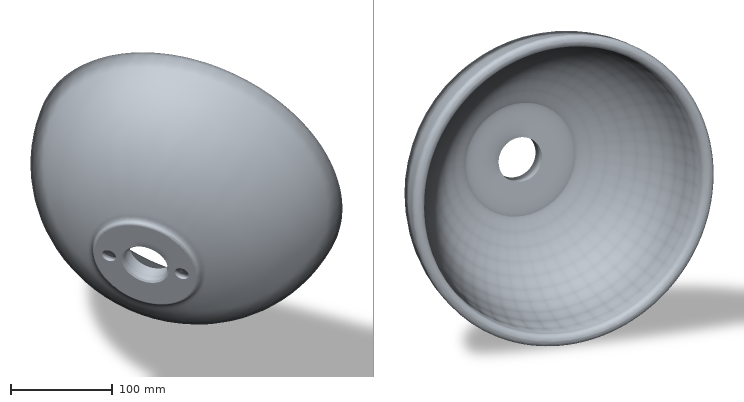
import cadquery as cq
import math

rim_radius = 160.0
bowl_height = 140.0
wall = 12.0
rim_fillet = 5.8

arc_radius = 137.0
arc_center_r = rim_radius - arc_radius
arc_center_y = 138.8
inner_arc_radius = arc_radius - wall
floor_y = 19.2

foot_radius = 55.3
foot_edge_fillet = 2.5
foot_root_fillet = 5.0

drain_radius = 23.0
drain_chamfer = 1.5
hole_radius = 7.5
hole_offset = 38.0
hole_depth = 6.5
ledge_offset = 36.0
ledge_height = 0.5


def arc_point(radius, angle):
    """Point on a profile arc; the angle is measured down from the rim direction."""
    return (
        arc_center_r + radius * math.cos(angle),
        arc_center_y - radius * math.sin(angle),
    )


def bowl_half_section():
    """Wall section from the foot face up to the rim and back down inside."""
    rim_drop = arc_center_y - bowl_height
    outer_rim = math.asin(rim_drop / arc_radius)
    outer_foot = math.acos((foot_radius - arc_center_r) / arc_radius)
    inner_rim = math.asin(rim_drop / inner_arc_radius)
    inner_floor = math.asin((arc_center_y - floor_y) / inner_arc_radius)
    return (
        cq.Workplane("XY")
        .lineTo(foot_radius, 0)
        .lineTo(*arc_point(arc_radius, outer_foot))
        .threePointArc(
            arc_point(arc_radius, (outer_foot + outer_rim) / 2),
            arc_point(arc_radius, outer_rim),
        )
        .lineTo(*arc_point(inner_arc_radius, inner_rim))
        .threePointArc(
            arc_point(inner_arc_radius, (inner_rim + inner_floor) / 2),
            arc_point(inner_arc_radius, inner_floor),
        )
        .lineTo(0, floor_y)
        .close()
    )


def make_bowl():
    bowl = bowl_half_section().revolve(360, (0, 0, 0), (0, 1, 0))
    bowl = bowl.faces(">Y").edges().fillet(rim_fillet)
    bowl = bowl.faces("<Y").edges().fillet(foot_edge_fillet)
    foot_root_y = arc_center_y - math.sqrt(arc_radius**2 - (foot_radius - arc_center_r) ** 2)
    margin = 0.3
    root_edge = cq.selectors.BoxSelector(
        (-rim_radius, foot_root_y - margin, -rim_radius),
        (rim_radius, foot_root_y + margin, rim_radius),
        boundingbox=True,
    )
    return bowl.edges(root_edge).fillet(foot_root_fillet)


def cylinder_along_y(radius, length, x=0):
    return cq.Workplane("XZ").center(x, 0).circle(radius).extrude(-length)


def make_drain():
    """Through bore, widened by a chamfer at the foot face."""
    wide_radius = drain_radius + drain_chamfer
    return (
        cq.Workplane("XY")
        .polyline([
            (0, 0),
            (wide_radius, 0),
            (drain_radius, drain_chamfer),
            (drain_radius, floor_y),
            (0, floor_y),
        ])
        .close()
        .revolve(360, (0, 0, 0), (0, 1, 0))
    )


def make_mounting_hole(side):
    """Blind hole on the side given by the sign, with a stepped floor."""
    hole = cylinder_along_y(hole_radius, hole_depth, side * hole_offset)
    ledge_width = 2 * hole_radius
    ledge = cq.Workplane("XY").box(ledge_width, ledge_height, ledge_width).translate(
        (side * (ledge_offset - ledge_width / 2), hole_depth - ledge_height / 2, 0)
    )
    return hole.cut(ledge)


result = make_bowl().cut(make_drain())
for side in (-1, 1):
    result = result.cut(make_mounting_hole(side))